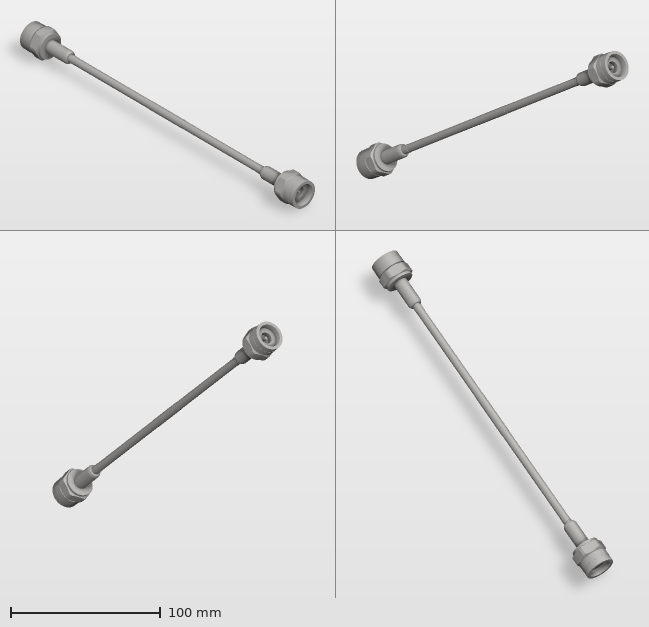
import cadquery as cq


overall_length = 266.7
mouth_x = overall_length / 2
lip_x = 128.8
hex_front_x = 124.0
nut_floor_x = 117.3
hex_back_x = 116.0
nut_back_x = 114.1
ferrule_shoulder_x = 96.8
ferrule_end_x = 94.5
collar_start_x = 92.8
collar_end_x = 88.8

across_flats = 20.5
corner_diameter = 22.7
barrel_radius = across_flats / 2
lip_step = 0.13
back_collar_radius = 9.5
front_chamfer_base_radius = 9.3
front_chamfer_length = 1.5
back_chamfer_length = 0.8
bore_mouth_radius = 8.0
bore_radius = 7.2
bore_taper_length = 4.3

ferrule_radius = 4.8
ferrule_end_radius = 4.0
ferrule_wall = 0.21

cable_radius = 5.5 / 2
label_thickness = 0.13
label_half_length = 15.7

flange_front_x = mouth_x - bore_taper_length
socket_radius = 4.0
socket_depth = 4.0
pin_radius = 1.0
stem_radius = ferrule_radius - ferrule_wall
groove_centres_x = (111.5, 108.5)
groove_width = 0.8
groove_depth = 0.5
neck_radius = cable_radius
collar_radius = neck_radius + 0.13


def cylinder(start_x, end_x, radius):
    """Solid cylinder on the X axis between two distances toward the -X end."""
    return cq.Workplane("YZ", origin=(-start_x, 0, 0)).circle(radius).extrude(start_x - end_x)


def revolved(profile):
    """Solid of revolution about X from (distance toward -X, radius) points."""
    points = [(-distance, radius) for distance, radius in profile]
    return cq.Workplane("XY").polyline(points).close().revolve(360, (0, 0, 0), (1, 0, 0))


def nut_hexagon():
    """Hexagon with two flats level and its corners turned down and chamfered."""
    hexagon = (
        cq.Workplane("YZ", origin=(-hex_front_x, 0, 0))
        .polygon(6, across_flats, circumscribed=True)
        .extrude(hex_front_x - hex_back_x)
        .rotate((0, 0, 0), (1, 0, 0), 90)
    )
    turned_blank = revolved([
        (hex_front_x, 0),
        (hex_front_x, front_chamfer_base_radius),
        (hex_front_x - front_chamfer_length, corner_diameter / 2),
        (hex_back_x + back_chamfer_length, corner_diameter / 2),
        (hex_back_x, back_collar_radius),
        (hex_back_x, 0),
    ])
    return hexagon.intersect(turned_blank)


def coupling_nut():
    lip = cylinder(mouth_x, lip_x, barrel_radius - lip_step)
    barrel = cylinder(lip_x, hex_front_x, barrel_radius)
    back_collar = cylinder(hex_back_x, nut_back_x, back_collar_radius)
    bore = revolved([
        (mouth_x, 0),
        (mouth_x, bore_mouth_radius),
        (flange_front_x, bore_radius),
        (nut_floor_x, bore_radius),
        (nut_floor_x, stem_radius),
        (nut_back_x, stem_radius),
        (nut_back_x, 0),
    ])
    return nut_hexagon().union(lip).union(barrel).union(back_collar).cut(bore)


def stem_groove(centre_x):
    """Ring that cuts one groove into the stem, under the ferrule."""
    front_x = centre_x + groove_width / 2
    back_x = centre_x - groove_width / 2
    return cylinder(front_x, back_x, stem_radius).cut(
        cylinder(front_x, back_x, stem_radius - groove_depth)
    )


def connector_body():
    body = revolved([
        (flange_front_x, 0),
        (flange_front_x, bore_radius),
        (nut_floor_x, bore_radius),
        (nut_floor_x, stem_radius),
        (ferrule_shoulder_x, stem_radius),
        (ferrule_shoulder_x, neck_radius),
        (collar_start_x, neck_radius),
        (collar_start_x, collar_radius),
        (collar_end_x, collar_radius),
        (collar_end_x, 0),
    ])
    for centre_x in groove_centres_x:
        body = body.cut(stem_groove(centre_x))
    socket_floor_x = flange_front_x - socket_depth
    socket = cylinder(flange_front_x, socket_floor_x, socket_radius)
    pin = cylinder(flange_front_x, socket_floor_x, pin_radius)
    return body.cut(socket).union(pin)


def ferrule():
    """Sleeve around the stem that closes onto the neck with a rounded end."""
    profile = (
        cq.Workplane("XY")
        .moveTo(-nut_back_x, stem_radius)
        .lineTo(-nut_back_x, ferrule_radius)
        .lineTo(-ferrule_shoulder_x, ferrule_radius)
        .tangentArcPoint((-ferrule_end_x, ferrule_end_radius), relative=False)
        .lineTo(-ferrule_end_x, neck_radius)
        .lineTo(-ferrule_shoulder_x, neck_radius)
        .lineTo(-ferrule_shoulder_x, stem_radius)
        .close()
    )
    return profile.revolve(360, (0, 0, 0), (1, 0, 0))


def cable():
    """Cable between the two collars, with a thin label band around its middle."""
    core = cylinder(collar_end_x, -collar_end_x, cable_radius)
    label = cylinder(label_half_length, -label_half_length, cable_radius + label_thickness)
    return core.union(label)


plug_parts = [coupling_nut(), connector_body(), ferrule()]
mirrored_parts = [part.mirror("YZ") for part in plug_parts]
bodies = [part.solids().val() for part in [cable(), *plug_parts, *mirrored_parts]]

result = cq.Compound.makeCompound(bodies)